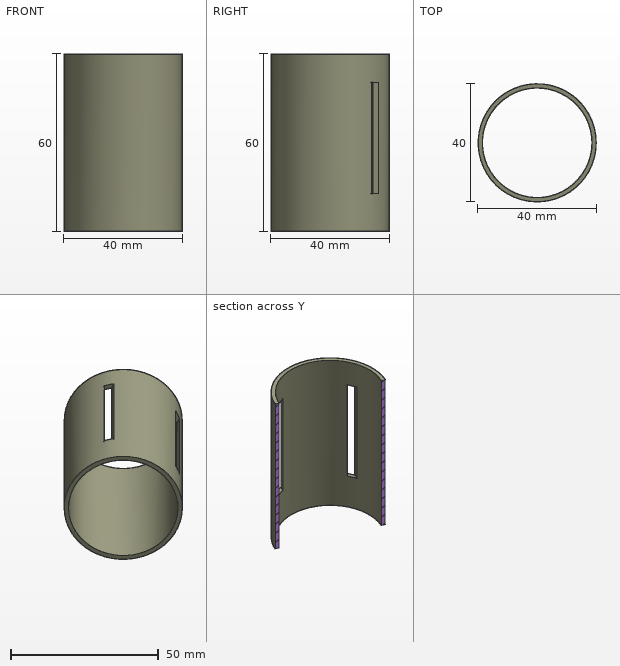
import cadquery as cq

length = 60.0
outer_diameter = 40.0
wall = 1.5
outer_radius = outer_diameter / 2
inner_radius = outer_radius - wall

slot_width = 2.6
slot_offset = 12.95
slot_bottom = 12.8
slot_height = 37.7


def make_tube():
    return cq.Workplane("XY").circle(outer_radius).circle(inner_radius).extrude(length)


def slot_cutter(x_center):
    """Box reaching from the middle of the tube out past the +Y wall."""
    return (
        cq.Workplane("XY")
        .box(slot_width, outer_diameter, slot_height, centered=(True, False, False))
        .translate((x_center, 0, slot_bottom))
    )


result = make_tube()
for side in (-1, 1):
    result = result.cut(slot_cutter(side * slot_offset))